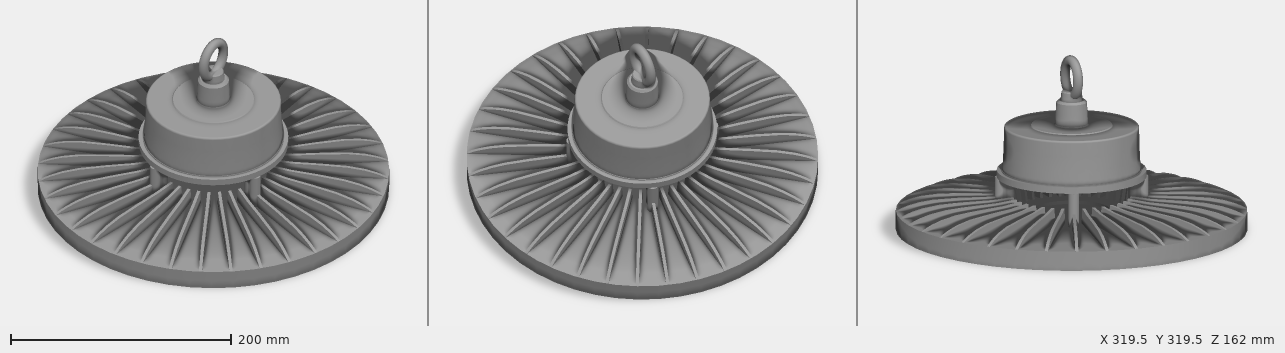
import cadquery as cq

DISC_DIAMETER = 319.5
DISC_HEIGHT = 18.0
DISC_RADIUS = DISC_DIAMETER / 2
RECESS_DIAMETER = 70.3
RECESS_DEPTH = 3.2

FIN_COUNT = 36
FIN_THICKNESS = 3.0
FIN_INNER_RADIUS = 51.8
FIN_INNER_TOP_RADIUS = 54.0
FIN_MIDDLE_RADIUS = 108.5
FIN_OUTER_RADIUS = 147.0
FIN_TIP_RADIUS = 159.5
FIN_INNER_TOP = 32.3
FIN_MIDDLE_TOP = 29.5
FIN_OUTER_TOP = 23.3

POST_COUNT = 4
POST_FIRST_ANGLE = 70.0
COLUMN_DIAMETER = 9.5
WEB_WIDTH = 7.7
OUTER_COLUMN_RADIUS = 65.0
INNER_COLUMN_RADIUS = 56.5

PLATE_DIAMETER = 136.0
PLATE_BOTTOM = 49.5
PLATE_THICKNESS = 6.0
PLATE_TOP = PLATE_BOTTOM + PLATE_THICKNESS

FOOT_RADIUS = 64.0
FOOT_HEIGHT = 0.5
HOUSING_BASE_RADIUS = 63.0
HOUSING_TOP_RADIUS = 61.5
HOUSING_TOP = 96.8
HOUSING_EDGE_RADIUS = 2.0

BASE_BOTTOM_RADIUS = 37.7
BASE_TOP_RADIUS = 36.7
BASE_THICKNESS = 1.0
BASE_TOP = HOUSING_TOP + BASE_THICKNESS
KNOB_FLARE = 1.0
KNOB_BASE_RADIUS = 15.0
KNOB_SHOULDER_RADIUS = 14.0
KNOB_TOP_RADIUS = 12.0
KNOB_TOP = 120.8
KNOB_EDGE_HEIGHT = 2.0

COLLAR_BASE_RADIUS = 10.2
COLLAR_SHOULDER_RADIUS = 9.3
COLLAR_TOP_RADIUS = 8.3
COLLAR_TOP = 129.5
COLLAR_EDGE_HEIGHT = 1.0
RING_TOP = 162.0
RING_WIRE_RADIUS = 4.5
RING_CENTRE_RADIUS = 16.0


def revolved(profile):
    """Turn an outline in (radius, height) around the Z axis."""
    return profile.close().revolve(360, (0, 0, 0), (0, 1, 0))


def make_fin():
    """One radial fin along +X, standing on the disc and sloping down to the rim."""
    return (
        cq.Workplane("XZ")
        .moveTo(FIN_INNER_RADIUS, DISC_HEIGHT)
        .lineTo(FIN_INNER_TOP_RADIUS, FIN_INNER_TOP)
        .spline(
            [
                (FIN_MIDDLE_RADIUS, FIN_MIDDLE_TOP),
                (FIN_OUTER_RADIUS, FIN_OUTER_TOP),
                (FIN_TIP_RADIUS, DISC_HEIGHT),
            ],
            includeCurrent=True,
        )
        .close()
        .extrude(FIN_THICKNESS / 2, both=True)
    )


def make_post():
    """Two parallel columns along +X joined by a flat web, up to the mounting plate."""
    height = PLATE_BOTTOM - DISC_HEIGHT
    base = cq.Workplane("XY", origin=(0, 0, DISC_HEIGHT))
    inner_column = base.center(INNER_COLUMN_RADIUS, 0).circle(COLUMN_DIAMETER / 2).extrude(height)
    outer_column = base.center(OUTER_COLUMN_RADIUS, 0).circle(COLUMN_DIAMETER / 2).extrude(height)
    web = (
        base.center((INNER_COLUMN_RADIUS + OUTER_COLUMN_RADIUS) / 2, 0)
        .rect(OUTER_COLUMN_RADIUS - INNER_COLUMN_RADIUS, WEB_WIDTH)
        .extrude(height)
    )
    return inner_column.union(outer_column).union(web)


def around_axis(shape, count, first_angle):
    """Copies of a shape spaced evenly around the Z axis."""
    return [
        shape.rotate((0, 0, 0), (0, 0, 1), first_angle + i * 360 / count).val()
        for i in range(count)
    ]


def make_heat_sink():
    """Disc with a shallow central recess, radial fins and posts."""
    recess = (
        cq.Workplane("XY", origin=(0, 0, DISC_HEIGHT - RECESS_DEPTH))
        .circle(RECESS_DIAMETER / 2)
        .extrude(RECESS_DEPTH)
    )
    disc = cq.Workplane("XY").circle(DISC_RADIUS).extrude(DISC_HEIGHT).cut(recess)
    fins = around_axis(make_fin(), FIN_COUNT, 0)
    posts = around_axis(make_post(), POST_COUNT, POST_FIRST_ANGLE)
    return cq.Workplane(disc.val().fuse(*fins, *posts))


def make_mounting_plate():
    """Flat round plate resting on the posts."""
    return (
        cq.Workplane("XY", origin=(0, 0, PLATE_BOTTOM))
        .circle(PLATE_DIAMETER / 2)
        .extrude(PLATE_THICKNESS)
    )


def make_driver_housing():
    """Tapered drum on a thin foot, with a rounded top edge."""
    foot_top = PLATE_TOP + FOOT_HEIGHT
    housing = revolved(
        cq.Workplane("XZ")
        .moveTo(0, PLATE_TOP)
        .lineTo(FOOT_RADIUS, PLATE_TOP)
        .lineTo(FOOT_RADIUS, foot_top)
        .lineTo(HOUSING_BASE_RADIUS, foot_top)
        .lineTo(HOUSING_TOP_RADIUS, HOUSING_TOP)
        .lineTo(0, HOUSING_TOP)
    )
    return housing.faces(">Z").edges().fillet(HOUSING_EDGE_RADIUS)


def make_hanger_base():
    """Bevelled disc carrying a tapered knob with a bevelled top edge."""
    return revolved(
        cq.Workplane("XZ")
        .moveTo(0, HOUSING_TOP)
        .lineTo(BASE_BOTTOM_RADIUS, HOUSING_TOP)
        .lineTo(BASE_TOP_RADIUS, BASE_TOP)
        .lineTo(KNOB_BASE_RADIUS + KNOB_FLARE, BASE_TOP)
        .lineTo(KNOB_BASE_RADIUS, BASE_TOP + KNOB_FLARE)
        .lineTo(KNOB_SHOULDER_RADIUS, KNOB_TOP - KNOB_EDGE_HEIGHT)
        .lineTo(KNOB_TOP_RADIUS, KNOB_TOP)
        .lineTo(0, KNOB_TOP)
    )


def make_eye_bolt():
    """Collar on the knob with a round-wire ring sunk into it."""
    collar = revolved(
        cq.Workplane("XZ")
        .moveTo(0, KNOB_TOP)
        .lineTo(COLLAR_BASE_RADIUS, KNOB_TOP)
        .lineTo(COLLAR_SHOULDER_RADIUS, COLLAR_TOP - COLLAR_EDGE_HEIGHT)
        .lineTo(COLLAR_TOP_RADIUS, COLLAR_TOP)
        .lineTo(0, COLLAR_TOP)
    )
    ring_centre = cq.Vector(0, 0, RING_TOP - RING_WIRE_RADIUS - RING_CENTRE_RADIUS)
    ring = cq.Solid.makeTorus(RING_CENTRE_RADIUS, RING_WIRE_RADIUS, ring_centre, cq.Vector(1, 0, 0))
    return collar.union(cq.Workplane(ring))


heat_sink = make_heat_sink()
mounting_plate = make_mounting_plate()
driver_housing = make_driver_housing()
hanger_base = make_hanger_base()
eye_bolt = make_eye_bolt()

result = cq.Compound.makeCompound(
    [
        heat_sink.solids().val(),
        mounting_plate.solids().val(),
        driver_housing.solids().val(),
        hanger_base.solids().val(),
        eye_bolt.solids().val(),
    ]
)